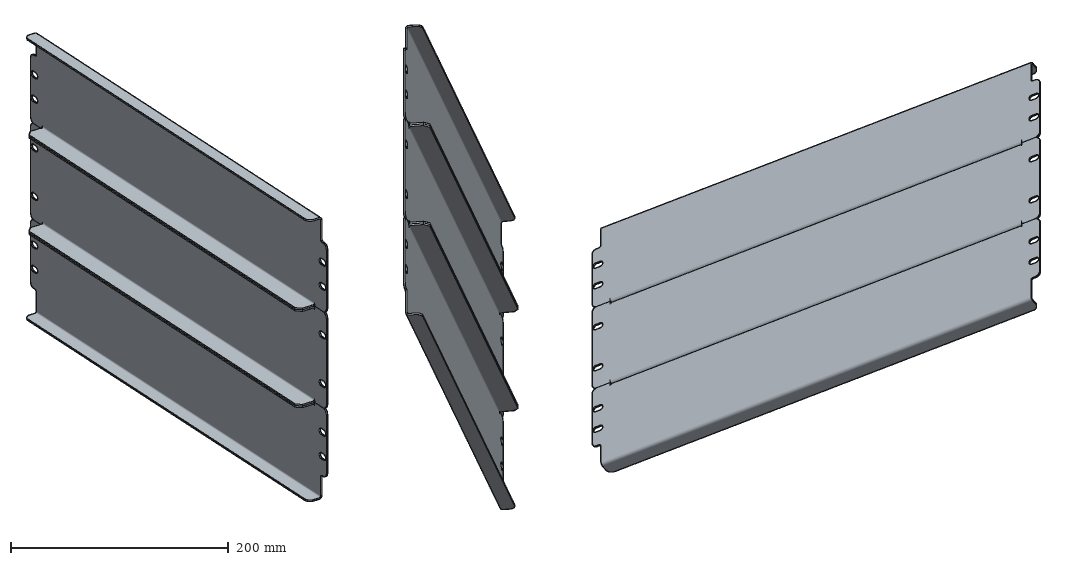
import cadquery as cq
import math

WIDTH = 476.5
HEIGHT = 290.0
SHEET = 1.65
BEND_INNER = 1.65
BEND_OUTER = BEND_INNER + SHEET

SEAM_Z = 49.5
SEAM_CORNER = 5.2

SEAM_FLANGE_DEPTH = 20.0
SEAM_FLANGE_LENGTH = 438.5
SEAM_FLANGE_CHAMFER = 5.0
RIM_FLANGE_DEPTH = 15.2
RIM_FLANGE_LENGTH = 458.0
RIM_FLANGE_RADIUS = 6.0

EAR_TOP_Z = 120.0
EAR_CORNER = 5.0
EAR_ROOT = 2.5

SLOT_LENGTH = 10.5
SLOT_HEIGHT = 6.0
SLOT_X = 232.0
SLOT_SPAN = 200.0
SLOT_PITCH = SLOT_SPAN / 8
MIDDLE_SLOT_Z = SLOT_PITCH
OUTER_SLOTS_Z = [3 * SLOT_PITCH, 4 * SLOT_PITCH]


def block(x_size, y_min, y_max, z_min, z_max):
    """Box centred on X = 0 between the given Y and Z limits."""
    return cq.Workplane("XY").box(x_size, y_max - y_min, z_max - z_min).translate(
        (0, (y_min + y_max) / 2, (z_min + z_max) / 2)
    )


def flange(length, depth, edge_z):
    """Flange bent forward from a sheet; its outer face lies at edge_z and faces +Z."""
    mid = math.sqrt(0.5)
    bend_z = edge_z - BEND_OUTER
    profile = (
        cq.Workplane("YZ", origin=(-length / 2, 0, 0))
        .moveTo(0, bend_z)
        .threePointArc((-BEND_OUTER * (1 - mid), bend_z + BEND_OUTER * mid), (-BEND_OUTER, edge_z))
        .lineTo(-depth, edge_z)
        .lineTo(-depth, edge_z - SHEET)
        .lineTo(-BEND_OUTER, edge_z - SHEET)
        .threePointArc((-BEND_OUTER + BEND_INNER * mid, bend_z + BEND_INNER * mid), (-SHEET, bend_z))
        .close()
    )
    return profile.extrude(length)


def seam_flange(edge_z):
    """Flange along a seam, with chamfered front corners."""
    body = flange(SEAM_FLANGE_LENGTH, SEAM_FLANGE_DEPTH, edge_z)
    return body.faces("<Y").edges("|Z").chamfer(SEAM_FLANGE_CHAMFER)


def rim_flange(edge_z):
    """Flange along the outer rim, with rounded front corners."""
    body = flange(RIM_FLANGE_LENGTH, RIM_FLANGE_DEPTH, edge_z)
    return body.faces("<Y").edges("|Z").fillet(RIM_FLANGE_RADIUS)


def bend_relief(length, edge_z):
    """Strip of flat sheet that the bend of a flange replaces."""
    return block(length, -SHEET, 0, edge_z - BEND_OUTER, edge_z)


def mounting_slots(heights):
    """Through slots at both ends of a panel, at each of the given heights."""
    points = [(side * SLOT_X, z) for side in (-1, 1) for z in heights]
    return cq.Workplane("XZ").pushPoints(points).slot2D(SLOT_LENGTH, SLOT_HEIGHT).extrude(SHEET)


def make_middle_panel():
    """Flat panel with a seam flange along its top and bottom."""
    panel = block(WIDTH, -SHEET, 0, -SEAM_Z, SEAM_Z).edges("|Y").fillet(SEAM_CORNER)
    panel = panel.cut(mounting_slots([-MIDDLE_SLOT_Z, MIDDLE_SLOT_Z]))
    relief = bend_relief(SEAM_FLANGE_LENGTH, SEAM_Z)
    upper_flange = seam_flange(SEAM_Z)
    panel = panel.cut(relief).cut(relief.mirror("XY"))
    return panel.union(upper_flange).union(upper_flange.mirror("XY"))


def make_upper_panel():
    """Panel with a seam flange at its bottom, a rim flange at its top and ears at its ends."""
    ears = block(WIDTH, -SHEET, 0, SEAM_Z, EAR_TOP_Z)
    ears = ears.faces("<Z").edges("|Y").fillet(SEAM_CORNER)
    ears = ears.faces(">Z").edges("|Y").fillet(EAR_CORNER)
    rim_z = HEIGHT / 2
    web = block(RIM_FLANGE_LENGTH, -SHEET, 0, SEAM_Z, rim_z - BEND_OUTER)
    panel = ears.union(web)
    root_x = RIM_FLANGE_LENGTH / 2
    for side in (-1, 1):
        root = cq.selectors.NearestToPointSelector((side * root_x, -SHEET / 2, EAR_TOP_Z))
        panel = panel.edges("|Y").edges(root).fillet(EAR_ROOT)
    panel = panel.cut(mounting_slots(OUTER_SLOTS_Z))

    turn_over = {"mirrorPlane": "XY", "basePointVector": (0, 0, SEAM_Z)}
    panel = panel.cut(bend_relief(SEAM_FLANGE_LENGTH, SEAM_Z).mirror(**turn_over))
    panel = panel.union(seam_flange(SEAM_Z).mirror(**turn_over))
    return panel.union(rim_flange(rim_z))


middle_panel = make_middle_panel()
upper_panel = make_upper_panel()
lower_panel = upper_panel.mirror("XY")

result = cq.Compound.makeCompound([middle_panel.val(), upper_panel.val(), lower_panel.val()])